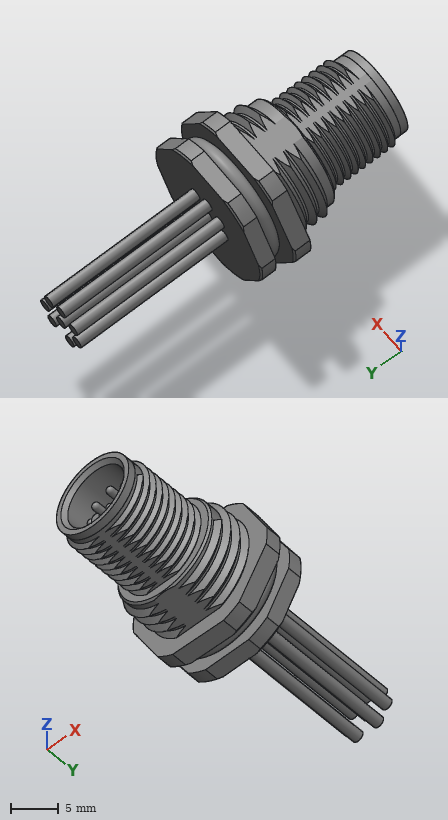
import cadquery as cq
import math


total_length = 43.0
shoulder_y = 11.0
nut_front_y = 16.75
nut_back_y = 19.0
flange_front_y = 21.0
flange_back_y = 23.0

nose_radius = 5.3
nose_flat_cut = 0.02
nose_flat = nose_radius - nose_flat_cut
nose_band_length = 1.0
neck_radius = 6.85
neck_flat = 6.65
neck_chamfer = 0.25

nose_crest_radius = 5.8
nose_thread_start = 1.68
nose_thread_length = 9.5
nose_half_turns = 19
nose_pitch = 2 * nose_thread_length / nose_half_turns
neck_crest_radius = 7.52
neck_thread_start = 12.1
neck_thread_length = 4.95
neck_half_turns = 7
neck_pitch = 2 * neck_thread_length / neck_half_turns
thread_base_share = 0.9
thread_root_overlap = 0.1
ridge_half_angle = 86

nut_across_flats = 18.0
nut_corner_diameter = 19.5
nut_turn = 1.9
flange_across_flats = 17.03
flange_corner_diameter = 18.15
hex_chamfer = 0.2

ring_squeeze = 0.05
ring_outer_radius = 7.8
ring_section_radius = (flange_front_y - nut_back_y) / 2 + ring_squeeze

bore_radius = 4.1
mouth_radius = 4.6
mouth_depth = 0.5
socket_depth = 9.0
key_width = 1.1
key_tip_z = -2.95
key_front_y = 0.45

contact_circle_radius = 2.75
contact_spacing = 49
outer_contacts = 7
pin_diameter = 1.0
pin_radius = pin_diameter / 2
pin_tip_y = 2.32
wire_diameter = 1.45
wire_radius = wire_diameter / 2


def disc(radius, start_y, end_y, x=0.0, z=0.0):
    """Cylinder parallel to the Y axis."""
    plane = cq.Workplane("XZ", origin=(x, start_y, z))
    return plane.circle(radius).extrude(start_y - end_y)


def between_flats(shape, half_height, start_y, end_y):
    """Keep only what lies between two horizontal flats."""
    width = 4 * half_height
    length = end_y - start_y
    slab = cq.Workplane("XY").box(width, length, 2 * half_height)
    return shape.intersect(slab.translate((0, (start_y + end_y) / 2, 0)))


def ridge_arc(core_radius, crest_radius, pitch, start_y, start_angle, end_angle):
    """Part of a right-hand V-shaped ridge, between two angles counted along the helix."""
    root_radius = core_radius - thread_root_overlap
    half_base = thread_base_share * pitch / 2
    turns = (end_angle - start_angle) / 360
    helix = cq.Wire.makeHelix(pitch, turns * pitch, core_radius)
    profile = (
        cq.Workplane("XZ")
        .moveTo(root_radius, -half_base)
        .lineTo(crest_radius, 0)
        .lineTo(root_radius, half_base)
        .close()
    )
    arc = profile.sweep(cq.Workplane(obj=helix), isFrenet=True)
    arc = arc.rotate((0, 0, 0), (0, 0, 1), start_angle)
    arc = arc.rotate((0, 0, 0), (1, 0, 0), -90)
    return arc.translate((0, start_y + pitch * start_angle / 360, 0))


def add_thread(core, core_radius, crest_radius, pitch, start_y, half_turns):
    """Thread that starts on the +X side; the flats interrupt it above and below."""
    final_angle = 180 * half_turns
    for index in range(half_turns + 1):
        side_angle = 180 * index
        start_angle = max(side_angle - ridge_half_angle, 0)
        end_angle = min(side_angle + ridge_half_angle, final_angle)
        arc = ridge_arc(core_radius, crest_radius, pitch, start_y, start_angle, end_angle)
        core = core.union(arc)
    return core


def rounded_hex(across_flats, corner_diameter, front_y, back_y, turn=0.0):
    """Hexagon plate with turned corners, bevelled on its rear edge."""
    corner_to_corner = across_flats / math.cos(math.radians(30))
    plate = (
        cq.Workplane("XZ", origin=(0, front_y, 0))
        .polygon(6, corner_to_corner)
        .extrude(front_y - back_y)
        .rotate((0, 0, 0), (0, 1, 0), turn)
    )
    blank = disc(corner_diameter / 2, front_y, back_y).faces(">Y").chamfer(hex_chamfer)
    return plate.intersect(blank)


def make_nose():
    core = disc(nose_radius, nose_band_length, shoulder_y)
    threaded = add_thread(
        core, nose_radius, nose_crest_radius, nose_pitch, nose_thread_start, nose_half_turns
    )
    threaded = between_flats(threaded, nose_flat, nose_band_length, nut_front_y)
    return threaded.union(disc(nose_flat, 0, nose_band_length))


def make_neck():
    core = disc(neck_radius, shoulder_y, flange_back_y).faces("<Y").chamfer(neck_chamfer)
    threaded = add_thread(
        core, neck_radius, neck_crest_radius, neck_pitch, neck_thread_start, neck_half_turns
    )
    return between_flats(threaded, neck_flat, shoulder_y, flange_back_y)


def make_sealing_ring():
    centre_radius = ring_outer_radius - ring_section_radius
    centre_y = (nut_back_y + flange_front_y) / 2
    return (
        cq.Workplane("XY")
        .center(centre_radius, centre_y)
        .circle(ring_section_radius)
        .revolve(360, (-centre_radius, 0, 0), (-centre_radius, 1, 0))
    )


def make_socket():
    """Bore with a tapered mouth."""
    return (
        cq.Workplane("XY")
        .lineTo(mouth_radius, 0)
        .lineTo(bore_radius, mouth_depth)
        .lineTo(bore_radius, socket_depth)
        .lineTo(0, socket_depth)
        .close()
        .revolve(360, (0, 0, 0), (0, 1, 0))
    )


def make_key():
    """Round-topped rib on the lowest line of the bore."""
    round_radius = key_width / 2
    round_z = key_tip_z - round_radius
    foot_z = -(bore_radius + nose_radius) / 2
    return (
        cq.Workplane("XZ", origin=(0, key_front_y, 0))
        .moveTo(-round_radius, foot_z)
        .lineTo(-round_radius, round_z)
        .threePointArc((0, key_tip_z), (round_radius, round_z))
        .lineTo(round_radius, foot_z)
        .close()
        .extrude(key_front_y - socket_depth)
    )


def contact_places():
    """Centre contact, then the outer row spread evenly about the top."""
    places = [(0.0, 0.0)]
    for index in range(outer_contacts):
        angle = math.radians(90 + contact_spacing * (index - (outer_contacts - 1) / 2))
        x = contact_circle_radius * math.cos(angle)
        z = contact_circle_radius * math.sin(angle)
        places.append((x, z))
    return places


def make_pin(x, z):
    shaft_start_y = pin_tip_y + pin_radius
    shaft = disc(pin_radius, shaft_start_y, socket_depth + pin_radius, x, z)
    tip = cq.Workplane("XY").sphere(pin_radius).translate((x, shaft_start_y, z))
    return shaft.union(tip)


result = make_nose().union(make_neck())
result = result.union(
    rounded_hex(nut_across_flats, nut_corner_diameter, nut_front_y, nut_back_y, nut_turn)
)
result = result.union(
    rounded_hex(flange_across_flats, flange_corner_diameter, flange_front_y, flange_back_y)
)
result = result.union(make_sealing_ring())
result = result.cut(make_socket()).union(make_key())
for contact_x, contact_z in contact_places():
    result = result.union(make_pin(contact_x, contact_z))
    result = result.union(disc(wire_radius, flange_back_y, total_length, contact_x, contact_z))